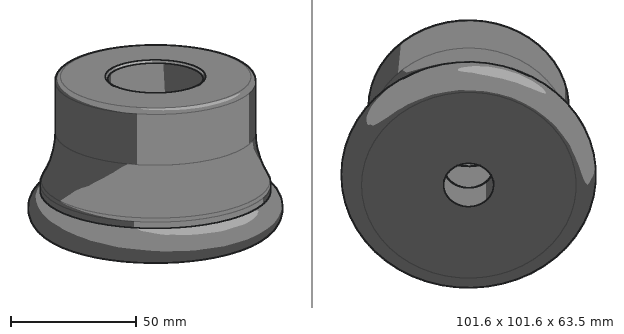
import cadquery as cq
import math

outer_radius = 50.8
rim_radius = 8.0
hole_radius = 10.0
hole_chamfer = 0.3

height = 63.5
neck_radius = 40.0
foot_radius = 46.0
flare_radius = 40.0
flare_top = 40.0
foot_rounding = 3.0
top_fillet = 2.0

bore_radius = 19.0
bore_chamfer = 1.0
bore_step_depth = 15.6
bore_relief = 0.2

rim_center = outer_radius - rim_radius
base_height = rim_radius + math.sqrt(rim_radius**2 - (foot_radius - rim_center)**2)

flare_center = neck_radius + flare_radius
rounding_center = foot_radius - foot_rounding
center_distance = flare_radius + foot_rounding
tangent_cos = (flare_center - rounding_center) / center_distance
tangent_sin = math.sqrt(1 - tangent_cos**2)
rounding_height = flare_top - center_distance * tangent_sin


def make_base():
    """Disc with a rounded rim and a chamfered hole through its center."""
    return (
        cq.Workplane("XZ")
        .moveTo(hole_radius, 0)
        .lineTo(rim_center, 0)
        .threePointArc((outer_radius, rim_radius), (foot_radius, base_height))
        .lineTo(hole_radius + hole_chamfer, base_height)
        .lineTo(hole_radius, base_height - hole_chamfer)
        .close()
        .revolve(360, (0, 0, 0), (0, 1, 0))
    )


def make_housing():
    """Flared tube that stands on the base, with a stepped bore."""
    relief_radius = bore_radius + bore_relief
    step_height = height - bore_step_depth
    half_angle = math.asin(tangent_sin) / 2
    flare_middle = (
        flare_center - flare_radius * math.cos(half_angle),
        flare_top - flare_radius * math.sin(half_angle),
    )
    tangent_point = (
        rounding_center + foot_rounding * tangent_cos,
        rounding_height + foot_rounding * tangent_sin,
    )
    rounding_middle = (
        rounding_center + foot_rounding * math.cos(half_angle),
        rounding_height + foot_rounding * math.sin(half_angle),
    )
    fillet_center = (neck_radius - top_fillet, height - top_fillet)
    fillet_offset = top_fillet * math.sqrt(0.5)
    fillet_middle = (fillet_center[0] + fillet_offset, fillet_center[1] + fillet_offset)
    return (
        cq.Workplane("XZ")
        .moveTo(relief_radius, base_height)
        .lineTo(foot_radius, base_height)
        .lineTo(foot_radius, rounding_height)
        .threePointArc(rounding_middle, tangent_point)
        .threePointArc(flare_middle, (neck_radius, flare_top))
        .lineTo(neck_radius, height - top_fillet)
        .threePointArc(fillet_middle, (neck_radius - top_fillet, height))
        .lineTo(bore_radius + bore_chamfer, height)
        .lineTo(bore_radius, height - bore_chamfer)
        .lineTo(bore_radius, step_height)
        .lineTo(relief_radius, step_height)
        .close()
        .revolve(360, (0, 0, 0), (0, 1, 0))
    )


base = make_base()
housing = make_housing()
result = cq.Compound.makeCompound([base.val(), housing.val()])